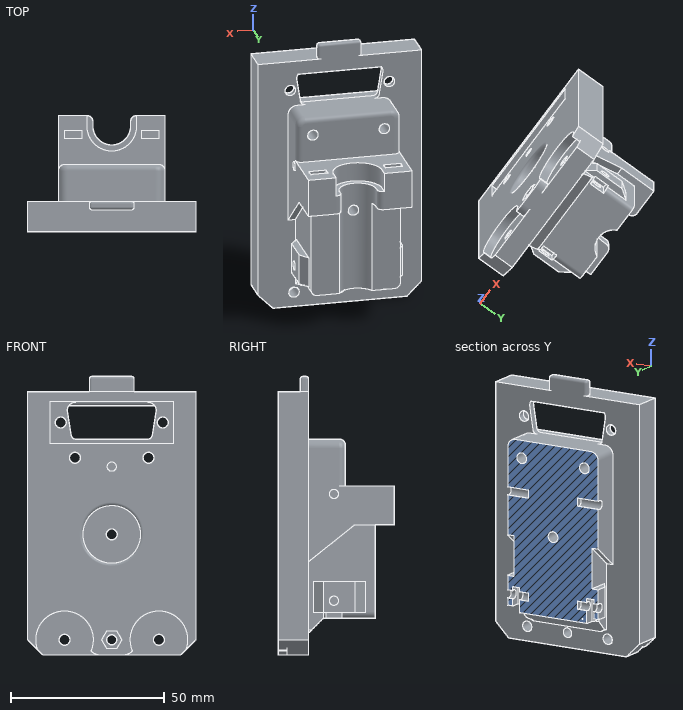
import cadquery as cq
import math

PLATE_WIDTH = 55.0
PLATE_HEIGHT = 86.0
PLATE_THICKNESS = 10.0
CORNER_CHAMFER = 5.0
SCREW_DIAMETER = 3.5
PIN_DIAMETER = 3.0
NUT_SCREW_DIAMETER = 3.2

TONGUE_WIDTH = 14.6
TONGUE_HEIGHT = 5.0
TONGUE_THICKNESS = 2.8
TONGUE_ROUNDING = 0.9

CONNECTOR_Z = 75.9
FLANGE_WIDTH = 40.4
FLANGE_HEIGHT = 13.7
FLANGE_DEPTH = 7.5
CONNECTOR_SCREW_X = 16.65
OPENING_HEIGHT = 10.8
OPENING_BOTTOM_HALF_WIDTH = 13.0
OPENING_TAPER = 9.0
OPENING_TOP_RADIUS = 2.6
OPENING_BOTTOM_RADIUS = 1.5
LINTEL_RADIUS = 1.2

UPPER_SCREW_X = 12.0
UPPER_SCREW_Z = 64.4
LOCATING_HOLE_Z = 61.5
CENTER_Z = 39.4
CENTER_RECESS_DIAMETER = 18.8
CENTER_RECESS_ROUNDING = 1.0
RECESS_DEPTH = 3.0
LOWER_HOLE_Z = 5.0
LOWER_SCREW_X = 15.4
LOWER_RECESS_DIAMETER = 18.8
LAND_FOOT_HALF_WIDTH = 3.4
LAND_CORNER_RADIUS = 5.0
NUT_ACROSS_CORNERS = 6.6
NUT_POCKET_DEPTH = 3.5
SCREW_HEAD_DIAMETER = 6.5

ARM_HALF_WIDTH = 17.4
ARM_BACK_Y = 38.0
ARM_BOTTOM_Z = 42.5
ARM_TOP_Z = 55.2
ARM_BRACE_Y = 25.0
ARM_BRACE_Z = 30.5
BLOCK_BACK_Y = 22.0
BLOCK_TOP_Z = CONNECTOR_Z - OPENING_HEIGHT / 2
BLOCK_SHOULDER_RADIUS = 3.0
BLOCK_BACK_RADIUS = 2.0
COLUMN_HALF_WIDTH = 15.0
COLUMN_BACK_Y = 31.8
COLUMN_BOTTOM_Z = 12.0
COLUMN_EDGE_RADIUS = 2.0
GUSSET_SIZE = 4.8

CHEEK_BOTTOM_Z = 13.9
CHEEK_HEIGHT = 10.2
CHEEK_FRONT_Y = 11.5
CHEEK_BACK_Y = 28.5
CHEEK_SLOPE_LENGTH = 3.4

SIDE_HOLE_Y = 18.25
SIDE_HOLE_ARM_Z = 52.6
SIDE_HOLE_CHEEK_Z = 17.75
SIDE_HOLE_DEPTH = 8.0
ARM_SLOT_LENGTH = 5.8
CHEEK_SLOT_LENGTH = 5.3
SLOT_WIDTH = 2.6
ARM_SLOT_X = 12.55
ARM_SLOT_Y = 31.8
CHEEK_SLOT_OUTER_X = 15.5

CHANNEL_RADIUS = 6.1
CHANNEL_WIDE_RADIUS = 8.1
CHANNEL_AXIS_Y = 34.5
LIP_TOP_Z = (ARM_BOTTOM_Z + ARM_TOP_Z) / 2

SIDES = (-1, 1)


def box(x_min, x_max, y_min, y_max, z_min, z_max):
    """Box between the given limits."""
    size = (x_max - x_min, y_max - y_min, z_max - z_min)
    return cq.Workplane("XY").box(*size, centered=False).translate((x_min, y_min, z_min))


def front_plane(y):
    """Workplane at depth Y whose extrusions run toward +Y; local x is -X and local y is Z."""
    return cq.Workplane(cq.Plane(origin=(0, y, 0), xDir=(-1, 0, 0), normal=(0, 1, 0)))


def hole_along_y(x, z, diameter, y_start, y_end):
    return front_plane(y_start).center(-x, z).circle(diameter / 2).extrude(y_end - y_start)


def hole_along_x(side, y, z):
    """Blind pin hole entering from the outer side face."""
    outer_x = side * ARM_HALF_WIDTH
    return (
        cq.Workplane("YZ", origin=(outer_x, y, z))
        .circle(PIN_DIAMETER / 2)
        .extrude(-side * SIDE_HOLE_DEPTH)
    )


def side_profile(points, half_width):
    """Prism across X from a YZ outline."""
    return cq.Workplane("YZ").polyline(points).close().extrude(half_width, both=True)


def make_plate():
    plate = box(-PLATE_WIDTH / 2, PLATE_WIDTH / 2, 0, PLATE_THICKNESS, 0, PLATE_HEIGHT)
    return plate.faces("<Z").edges("|Y").chamfer(CORNER_CHAMFER)


def make_tongue():
    front_y = PLATE_THICKNESS - TONGUE_THICKNESS
    half_width = TONGUE_WIDTH / 2
    top_z = PLATE_HEIGHT + TONGUE_HEIGHT
    tongue = box(-half_width, half_width, front_y, PLATE_THICKNESS, PLATE_HEIGHT, top_z)
    return tongue.edges("|Z or >Z").fillet(TONGUE_ROUNDING)


def make_block():
    block = box(
        -ARM_HALF_WIDTH, ARM_HALF_WIDTH, PLATE_THICKNESS, BLOCK_BACK_Y, ARM_BOTTOM_Z, BLOCK_TOP_Z
    )
    block = block.faces(">Z").edges("|Y").fillet(BLOCK_SHOULDER_RADIUS)
    return block.faces(">Y").edges("not <Z").fillet(BLOCK_BACK_RADIUS)


def make_arm():
    outline = [
        (PLATE_THICKNESS, ARM_BRACE_Z),
        (ARM_BRACE_Y, ARM_BOTTOM_Z),
        (ARM_BACK_Y, ARM_BOTTOM_Z),
        (ARM_BACK_Y, ARM_TOP_Z),
        (PLATE_THICKNESS, ARM_TOP_Z),
    ]
    return side_profile(outline, ARM_HALF_WIDTH)


def make_column():
    gusset_y = PLATE_THICKNESS + GUSSET_SIZE
    column = box(
        -COLUMN_HALF_WIDTH, COLUMN_HALF_WIDTH, gusset_y, COLUMN_BACK_Y, COLUMN_BOTTOM_Z, ARM_TOP_Z
    )
    column = column.faces("<Z").edges("|Y").fillet(COLUMN_EDGE_RADIUS)
    gusset_outline = [
        (PLATE_THICKNESS, COLUMN_BOTTOM_Z - GUSSET_SIZE),
        (gusset_y, COLUMN_BOTTOM_Z),
        (gusset_y, ARM_TOP_Z),
        (PLATE_THICKNESS, ARM_TOP_Z),
    ]
    return column.union(side_profile(gusset_outline, COLUMN_HALF_WIDTH))


def make_cheeks():
    """Trapezoidal pads that widen the column to the width of the arm."""
    outline = [
        (-COLUMN_HALF_WIDTH, CHEEK_FRONT_Y),
        (-ARM_HALF_WIDTH, CHEEK_FRONT_Y + CHEEK_SLOPE_LENGTH),
        (-ARM_HALF_WIDTH, CHEEK_BACK_Y - CHEEK_SLOPE_LENGTH),
        (-COLUMN_HALF_WIDTH, CHEEK_BACK_Y),
    ]
    mirrored = [(-x, y) for x, y in reversed(outline)]
    base = cq.Workplane("XY", origin=(0, 0, CHEEK_BOTTOM_Z))
    return base.polyline(outline + mirrored).close().extrude(CHEEK_HEIGHT)


def connector_cut():
    """Flange pocket, tapered opening with a rounded lintel, and the two connector screws."""
    pocket = box(
        -FLANGE_WIDTH / 2,
        FLANGE_WIDTH / 2,
        0,
        FLANGE_DEPTH,
        CONNECTOR_Z - FLANGE_HEIGHT / 2,
        CONNECTOR_Z + FLANGE_HEIGHT / 2,
    )
    lintel_z = CONNECTOR_Z + OPENING_HEIGHT / 2
    mouth_height = OPENING_HEIGHT + LINTEL_RADIUS
    top_half_width = OPENING_BOTTOM_HALF_WIDTH + mouth_height * math.tan(math.radians(OPENING_TAPER))
    bottom_z = lintel_z - OPENING_HEIGHT
    top_z = lintel_z + LINTEL_RADIUS
    outline = [
        (-OPENING_BOTTOM_HALF_WIDTH, bottom_z),
        (OPENING_BOTTOM_HALF_WIDTH, bottom_z),
        (top_half_width, top_z),
        (-top_half_width, top_z),
    ]
    opening_depth = PLATE_THICKNESS - FLANGE_DEPTH
    opening = front_plane(FLANGE_DEPTH).polyline(outline).close().extrude(opening_depth)
    opening = opening.faces(">Z").edges("|Y").fillet(OPENING_TOP_RADIUS)
    opening = opening.faces("<Z").edges("|Y").fillet(OPENING_BOTTOM_RADIUS)
    lintel = box(
        -top_half_width, top_half_width, FLANGE_DEPTH, PLATE_THICKNESS, lintel_z, top_z + LINTEL_RADIUS
    )
    lintel = lintel.edges("|X and <Y and <Z").fillet(LINTEL_RADIUS)
    cut = pocket.union(opening.cut(lintel))
    for side in SIDES:
        x = side * CONNECTOR_SCREW_X
        cut = cut.union(hole_along_y(x, CONNECTOR_Z, SCREW_DIAMETER, 0, PLATE_THICKNESS))
    return cut


def center_recess_cut():
    """Round recess with a rounded mouth."""
    mouth_radius = CENTER_RECESS_DIAMETER / 2 + CENTER_RECESS_ROUNDING
    wall_radius = CENTER_RECESS_DIAMETER / 2
    bend = CENTER_RECESS_ROUNDING * (1 - math.sqrt(0.5))
    profile = (
        cq.Workplane("XY")
        .moveTo(0, 0)
        .lineTo(mouth_radius, 0)
        .threePointArc((wall_radius + bend, bend), (wall_radius, CENTER_RECESS_ROUNDING))
        .lineTo(wall_radius, RECESS_DEPTH)
        .lineTo(0, RECESS_DEPTH)
        .close()
    )
    return profile.revolve(360, (0, 0, 0), (0, 1, 0)).translate((0, 0, CENTER_Z))


def land_corner_cut(side):
    """Rounds the foot of the land left between the two lower recesses."""
    foot_x = side * LAND_FOOT_HALF_WIDTH
    outer_x = side * LOWER_SCREW_X
    corner = box(min(foot_x, outer_x), max(foot_x, outer_x), 0, RECESS_DEPTH, 0, LAND_CORNER_RADIUS)
    return corner.cut(hole_along_y(foot_x, LAND_CORNER_RADIUS, 2 * LAND_CORNER_RADIUS, 0, RECESS_DEPTH))


def lower_cuts():
    """Round recesses, their screw holes and head clearances, and the central nut pocket."""
    nut = front_plane(0).center(0, LOWER_HOLE_Z).polygon(6, NUT_ACROSS_CORNERS)
    cut = nut.extrude(NUT_POCKET_DEPTH)
    cut = cut.union(hole_along_y(0, LOWER_HOLE_Z, NUT_SCREW_DIAMETER, 0, PLATE_THICKNESS))
    for side in SIDES:
        x = side * LOWER_SCREW_X
        cut = cut.union(hole_along_y(x, LOWER_HOLE_Z, LOWER_RECESS_DIAMETER, 0, RECESS_DEPTH))
        cut = cut.union(hole_along_y(x, LOWER_HOLE_Z, SCREW_DIAMETER, 0, PLATE_THICKNESS))
        head_end_y = PLATE_THICKNESS + GUSSET_SIZE
        cut = cut.union(hole_along_y(x, LOWER_HOLE_Z, SCREW_HEAD_DIAMETER, PLATE_THICKNESS, head_end_y))
        cut = cut.union(land_corner_cut(side))
    return cut


def plate_hole_cuts():
    """Screw holes through plate and block, and the blind locating hole."""
    cut = hole_along_y(0, CENTER_Z, SCREW_DIAMETER, 0, ARM_BACK_Y)
    cut = cut.union(hole_along_y(0, LOCATING_HOLE_Z, PIN_DIAMETER, 0, PLATE_THICKNESS))
    for side in SIDES:
        x = side * UPPER_SCREW_X
        cut = cut.union(hole_along_y(x, UPPER_SCREW_Z, SCREW_DIAMETER, 0, BLOCK_BACK_Y))
    return cut


def u_channel(radius, z_min, z_max):
    """Vertical channel with a round floor, open toward +Y."""
    height = z_max - z_min
    floor = cq.Workplane("XY", origin=(0, CHANNEL_AXIS_Y, z_min)).circle(radius).extrude(height)
    return floor.union(box(-radius, radius, CHANNEL_AXIS_Y, ARM_BACK_Y, z_min, z_max))


def lip_end_cut(side):
    """Rounds the end of the channel lip at the back of the arm."""
    lip_width = CHANNEL_WIDE_RADIUS - CHANNEL_RADIUS
    inner_x = side * CHANNEL_RADIUS
    outer_x = side * CHANNEL_WIDE_RADIUS
    front_y = ARM_BACK_Y - lip_width
    corner = box(
        min(inner_x, outer_x), max(inner_x, outer_x), front_y, ARM_BACK_Y, ARM_BOTTOM_Z, LIP_TOP_Z
    )
    rounding = cq.Workplane("XY", origin=(outer_x, front_y, ARM_BOTTOM_Z)).circle(lip_width)
    return corner.cut(rounding.extrude(LIP_TOP_Z - ARM_BOTTOM_Z))


def channel_cut():
    """Cable channel, wider in the upper half of the arm."""
    cut = u_channel(CHANNEL_RADIUS, COLUMN_BOTTOM_Z, ARM_TOP_Z)
    cut = cut.union(u_channel(CHANNEL_WIDE_RADIUS, LIP_TOP_Z, ARM_TOP_Z))
    for side in SIDES:
        cut = cut.union(lip_end_cut(side))
    return cut


def arm_slot_cut(side):
    """Nut slot sunk into the top of the arm, ending half a nut below mid-height."""
    x = side * ARM_SLOT_X
    floor_z = (ARM_BOTTOM_Z + ARM_TOP_Z - ARM_SLOT_LENGTH) / 2
    return box(
        x - ARM_SLOT_LENGTH / 2,
        x + ARM_SLOT_LENGTH / 2,
        ARM_SLOT_Y - SLOT_WIDTH / 2,
        ARM_SLOT_Y + SLOT_WIDTH / 2,
        floor_z,
        ARM_TOP_Z,
    )


def cheek_slot_cut(side):
    """Nut slot rising from the bottom of the column behind the cheek hole."""
    x = side * (CHEEK_SLOT_OUTER_X - SLOT_WIDTH / 2)
    return box(
        x - SLOT_WIDTH / 2,
        x + SLOT_WIDTH / 2,
        SIDE_HOLE_Y - CHEEK_SLOT_LENGTH / 2,
        SIDE_HOLE_Y + CHEEK_SLOT_LENGTH / 2,
        COLUMN_BOTTOM_Z,
        SIDE_HOLE_CHEEK_Z + CHEEK_SLOT_LENGTH / 2,
    )


bosses = (make_tongue(), make_block(), make_arm(), make_column(), make_cheeks())
cuts = [connector_cut(), center_recess_cut(), lower_cuts(), plate_hole_cuts(), channel_cut()]
for cheek_side in SIDES:
    cuts.append(arm_slot_cut(cheek_side))
    cuts.append(cheek_slot_cut(cheek_side))
    cuts.append(hole_along_x(cheek_side, SIDE_HOLE_Y, SIDE_HOLE_ARM_Z))
    cuts.append(hole_along_x(cheek_side, SIDE_HOLE_Y, SIDE_HOLE_CHEEK_Z))

result = make_plate()
for boss in bosses:
    result = result.union(boss)
for cut_shape in cuts:
    result = result.cut(cut_shape)